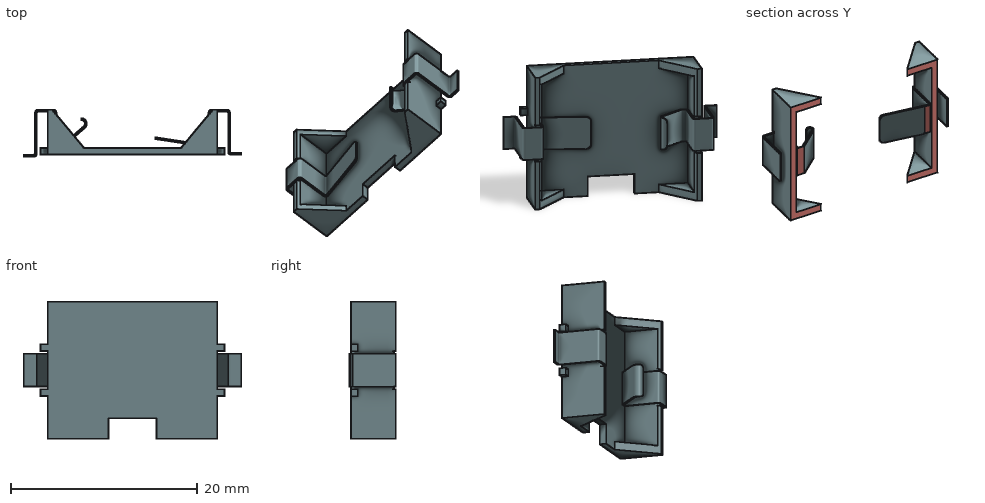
import cadquery as cq
import math

body_length = 18.24
body_height = 14.73
body_depth = 4.826
plate_thickness = 0.74
end_wall = 0.762
side_wall = 0.889
gusset_top = 0.508
gusset_base = 3.92
cutout_width = 5.14
cutout_height = 2.18
tab_size = 0.762
saddle_round = 0.16
notch_width = 4.064

sheet = 0.2032
tip_radius = 0.508
clip_width = 3.556
inner_bend = 0.127
overall_length = 23.37
leg_gap = 1.143
left_foot_drop = sheet
right_foot_drop = 0.0
hook_radius = 0.49
hook_x = -5.50
hook_y = 3.33
hook_arm_angle = 41.0
straight_arm_tip_x = 2.42
straight_arm_tip_y = 1.78
straight_arm_angle = 8.6

half_length = body_length / 2
saddle_depth = body_depth - sheet
bend = inner_bend + sheet / 2


def box(x_range, y_range, z_range):
    """Axis-aligned box given by its limits on each axis."""
    size = [high - low for low, high in (x_range, y_range, z_range)]
    corner = (x_range[0], y_range[0], z_range[0])
    return cq.Workplane("XY").box(*size, centered=False).translate(corner)


def make_housing():
    slope_top = half_length - gusset_top
    slope_base = half_length - gusset_base
    profile = [
        (-half_length, 0),
        (half_length, 0),
        (half_length, body_depth),
        (slope_top, body_depth),
        (slope_base, plate_thickness),
        (-slope_base, plate_thickness),
        (-slope_top, body_depth),
        (-half_length, body_depth),
    ]
    housing = cq.Workplane("XY").polyline(profile).close().extrude(body_height / 2, both=True)

    pocket_x = half_length - end_wall
    pocket_z = body_height / 2 - side_wall
    housing = housing.cut(
        box((-pocket_x, pocket_x), (plate_thickness, body_depth), (-pocket_z, pocket_z))
    )

    bottom = -body_height / 2
    housing = housing.cut(
        box((-cutout_width / 2, cutout_width / 2), (0, plate_thickness), (bottom, bottom + cutout_height))
    )

    for side in (-1, 1):
        housing = housing.cut(make_saddle_cutter(side))
        for end in (-1, 1):
            tab_x = side * (half_length + tab_size / 2)
            tab_z = end * (notch_width + tab_size) / 2
            tab = cq.Workplane("XY").box(tab_size, plate_thickness, tab_size)
            housing = housing.union(tab.translate((tab_x, plate_thickness / 2, tab_z)))
    return housing


def make_saddle_cutter(side):
    """What is removed from an end wall to leave a rounded saddle under the clip."""
    wall_x = side * (half_length - end_wall / 2)
    height = body_depth - plate_thickness
    block = cq.Workplane("XY").box(end_wall, height, notch_width)
    block = block.translate((wall_x, plate_thickness + height / 2, 0))
    saddle_height = saddle_depth - plate_thickness
    saddle = cq.Workplane("XY").box(end_wall, saddle_height, notch_width)
    saddle = saddle.edges(">Y and |Z").fillet(saddle_round)
    return block.cut(saddle.translate((wall_x, plate_thickness + saddle_height / 2, 0)))


def bent_path(points):
    """Polyline wire with every inner corner rounded to the bend radius."""
    wire = cq.Wire.makePolygon([cq.Vector(x, y, 0) for x, y in points])
    start, end = wire.startPoint(), wire.endPoint()
    corners = [v for v in wire.Vertices() if v.Center() not in (start, end)]
    return wire.fillet2D(bend, corners)


def round_tip(clip, tip):
    """Round the corners of a spring arm whose free end faces -X at the given (x, y)."""
    rounded_end = (
        box((0, 2 * tip_radius), (-tip_radius / 2, tip_radius / 2), (-clip_width / 2, clip_width / 2))
        .edges("<X and |Y")
        .fillet(tip_radius)
    )
    blank = box((-sheet, tip_radius), (-tip_radius / 2, tip_radius / 2), (-clip_width, clip_width))
    return clip.cut(blank.cut(rounded_end).translate((tip[0], tip[1], 0)))


def make_strip(path, start):
    """Sheet strip swept along a path that starts at a foot tip and runs along X."""
    section = cq.Workplane("YZ", origin=(start[0], start[1], 0)).rect(sheet, clip_width)
    return section.sweep(cq.Workplane("XY").newObject([path]))


def clip_hook_points(side, foot_drop):
    """Centreline corners from the foot tip, up the outer leg and over the end wall."""
    foot_y = sheet / 2 - foot_drop
    outer_leg_x = side * (half_length + leg_gap + sheet / 2)
    inner_leg_x = side * (half_length - end_wall - sheet / 2)
    bridge_y = body_depth - sheet / 2
    return [
        (side * overall_length / 2, foot_y),
        (outer_leg_x, foot_y),
        (outer_leg_x, bridge_y),
        (inner_leg_x, bridge_y),
    ]


def make_left_clip():
    """Clip whose spring arm rises from a flat on the back plate and ends in a curl."""
    points = clip_hook_points(-1, left_foot_drop)
    angle = math.radians(hook_arm_angle)
    flat_y = plate_thickness + sheet / 2
    arm_end = (hook_x + hook_radius * math.sin(angle), hook_y - hook_radius * math.cos(angle))
    arm_start_x = arm_end[0] - (arm_end[1] - flat_y) / math.tan(angle)
    points += [(points[-1][0], flat_y), (arm_start_x, flat_y), arm_end]
    tip = (hook_x, hook_y + hook_radius)
    curl = cq.Edge.makeThreePointArc(
        cq.Vector(*arm_end, 0),
        cq.Vector(hook_x + hook_radius, hook_y, 0),
        cq.Vector(*tip, 0),
    )
    path = cq.Wire.assembleEdges(bent_path(points).Edges() + [curl])
    return round_tip(make_strip(path, points[0]), tip)


def make_right_clip():
    """Clip whose straight spring arm rises gently from the foot of the inner leg."""
    points = clip_hook_points(1, right_foot_drop)
    inner_leg_x = points[-1][0]
    arm_run = inner_leg_x - straight_arm_tip_x
    arm_start_y = straight_arm_tip_y - arm_run * math.tan(math.radians(straight_arm_angle))
    points += [(inner_leg_x, arm_start_y), (straight_arm_tip_x, straight_arm_tip_y)]
    return round_tip(make_strip(bent_path(points), points[0]), points[-1])


housing = make_housing()
left_clip = make_left_clip()
right_clip = make_right_clip()
result = cq.Compound.makeCompound(
    [housing.solids().val(), left_clip.solids().val(), right_clip.solids().val()]
)